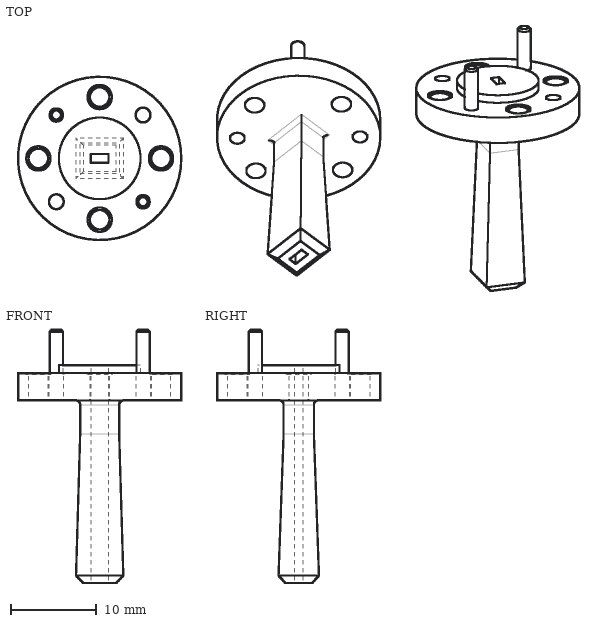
import cadquery as cq
import math

flange_diameter = 19.05
flange_thickness = 3.175

boss_diameter = 9.525
boss_height = 0.94

bolt_circle_diameter = 14.29
bolt_circle_radius = bolt_circle_diameter / 2
screw_hole_diameter = 2.26
screw_recess_diameter = 2.845
screw_recess_depth = 0.15
screw_hole_angles = (0, 90, 180, 270)
dowel_hole_diameter = 1.7
dowel_hole_angles = (45, 225)

pin_diameter = 1.57
pin_height = 5.08
pin_chamfer = 0.25
pin_angles = (135, 315)

slot_length_x = 2.032
slot_width_y = 1.016

overall_height = 29.54
horn_wall = 1.27
neck_size = (slot_length_x + 2 * horn_wall, slot_width_y + 2 * horn_wall)
mouth_size = (5.54, 4.74)
tip_size = (3.81, 3.11)
neck_length = 3.9
tip_length = 0.88
root_fillet_radius = 0.5

flange_bottom_z = -flange_thickness
neck_bottom_z = flange_bottom_z - neck_length
tip_bottom_z = pin_height - overall_height
mouth_z = tip_bottom_z + tip_length


def on_bolt_circle(angle):
    """XY point on the bolt circle at an angle in degrees from +X."""
    radians = math.radians(angle)
    return (bolt_circle_radius * math.cos(radians), bolt_circle_radius * math.sin(radians))


def cylinder_at(point, diameter, bottom_z, top_z):
    """Vertical cylinder centred on an XY point."""
    return (
        cq.Workplane("XY", origin=(*point, bottom_z))
        .circle(diameter / 2)
        .extrude(top_z - bottom_z)
    )


def tapered_block(top_size, top_z, bottom_size, bottom_z):
    """Four-sided block between two centred rectangles."""
    return (
        cq.Workplane("XY", origin=(0, 0, bottom_z))
        .rect(*bottom_size)
        .workplane(offset=top_z - bottom_z)
        .rect(*top_size)
        .loft(ruled=True)
    )


def make_flange_with_neck():
    """Flange, boss and straight neck, with the neck root filleted."""
    flange = cylinder_at((0, 0), flange_diameter, flange_bottom_z, 0)
    neck = (
        cq.Workplane("XY", origin=(0, 0, neck_bottom_z))
        .rect(*neck_size)
        .extrude(neck_length)
    )
    root_box = cq.selectors.BoxSelector(
        (-neck_size[0], -neck_size[1], flange_bottom_z - root_fillet_radius),
        (neck_size[0], neck_size[1], flange_bottom_z + root_fillet_radius),
    )
    root_edges = flange.union(neck).edges(root_box).edges("%LINE")
    body = root_edges.fillet(root_fillet_radius)
    return body.union(cylinder_at((0, 0), boss_diameter, 0, boss_height))


def make_horn():
    """Flared length below the neck and the tapered tip at its mouth."""
    flare = tapered_block(neck_size, neck_bottom_z, mouth_size, mouth_z)
    tip = tapered_block(mouth_size, mouth_z, tip_size, tip_bottom_z)
    return flare.union(tip)


def make_pin(angle):
    """Dowel pin with a chamfered top end."""
    pin = cylinder_at(on_bolt_circle(angle), pin_diameter, 0, pin_height)
    return pin.faces(">Z").edges().chamfer(pin_chamfer)


def make_screw_hole(angle):
    """Through hole with a shallow recess in the top face."""
    point = on_bolt_circle(angle)
    hole = cylinder_at(point, screw_hole_diameter, flange_bottom_z, 0)
    return hole.union(cylinder_at(point, screw_recess_diameter, -screw_recess_depth, 0))


def make_dowel_hole(angle):
    """Plain through hole for a mating dowel pin."""
    return cylinder_at(on_bolt_circle(angle), dowel_hole_diameter, flange_bottom_z, 0)


def make_slot():
    """Rectangular waveguide passage from the boss face to the horn tip."""
    return (
        cq.Workplane("XY", origin=(0, 0, tip_bottom_z))
        .rect(slot_length_x, slot_width_y)
        .extrude(boss_height - tip_bottom_z)
    )


result = make_flange_with_neck().union(make_horn())
for pin_angle in pin_angles:
    result = result.union(make_pin(pin_angle))
for screw_angle in screw_hole_angles:
    result = result.cut(make_screw_hole(screw_angle))
for dowel_angle in dowel_hole_angles:
    result = result.cut(make_dowel_hole(dowel_angle))
result = result.cut(make_slot())